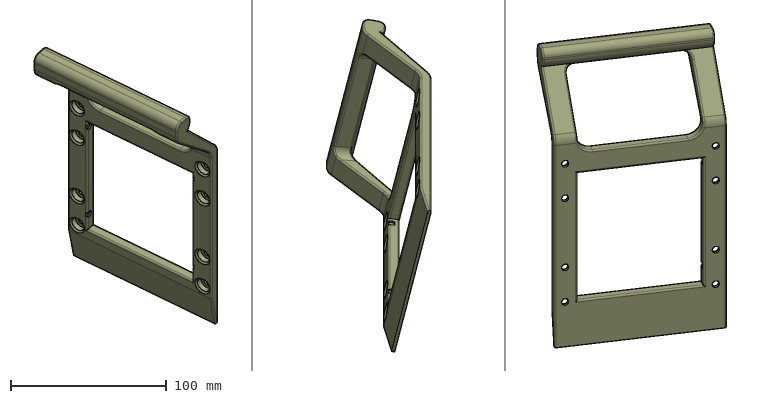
import cadquery as cq
width = 114.2
height = 199.7
reach = 45.0
edge_radius = 1.2

plate_thickness = 7.4
taper_height = 25.4
tip_thickness = 2.2
tip_rise = 0.4

arm_back_bottom = 150.4
arm_front_bottom = 149.4
bend_radius = 10.0

grip_depth = 15.0
grip_radius = 5.0
grip_front_bottom = 185.1
grip_back_flat = 1.2
notch_offset = 2.5
notch_height = 187.3

opening_width = 83.5
window_bottom = 33.0
window_top = 124.8
handle_bottom = 140.0
handle_top_front = 185.0
handle_top_slope = 0.15
handle_lower_radius = 10.0
handle_upper_radius = 6.0

hole_centre_height = 82.7
hole_column_spacing = 99.8
hole_pitch = 25.0
hole_offsets = [-2 * hole_pitch, -hole_pitch, hole_pitch, 2 * hole_pitch]
hole_diameter = 4.5
counterbore_diameter = 9.5
counterbore_depth = 5.0

dimple_diameter = 4.5
dimple_depth = 1.2
dimple_inset = 5.2
dimple_offset = 1.5 * hole_pitch


def make_body():
    """Extrude the side outline across the width, then round its bends and side edges."""
    grip_back = reach - grip_depth
    arc_start = height - grip_radius - grip_back_flat
    notch_drop = arc_start - notch_height
    arc_radius = (notch_offset**2 + notch_drop**2) / (2 * notch_offset)
    outline = (
        cq.Workplane("YZ")
        .moveTo(0, tip_rise)
        .lineTo(-tip_thickness, 0)
        .lineTo(-plate_thickness, taper_height)
        .lineTo(-plate_thickness, arm_front_bottom)
        .lineTo(-reach, grip_front_bottom)
        .lineTo(-reach, height - grip_radius)
        .radiusArc((-reach + grip_radius, height), grip_radius)
        .lineTo(-grip_back - grip_radius, height)
        .radiusArc((-grip_back, height - grip_radius), grip_radius)
        .lineTo(-grip_back, arc_start)
        .radiusArc((-grip_back - notch_offset, notch_height), arc_radius)
        .lineTo(0, arm_back_bottom)
        .close()
    )
    body = outline.extrude(width / 2, both=True)
    bends = [
        (0, arm_back_bottom),
        (-plate_thickness, arm_front_bottom),
        (-reach, grip_front_bottom),
    ]
    for y, z in bends:
        bend = cq.selectors.NearestToPointSelector((0, y, z))
        body = body.edges("|X").edges(bend).fillet(bend_radius)
    return body.faces("<X or >X").edges().fillet(edge_radius)


def make_window():
    """Plain rectangular prism through the flat plate."""
    return cq.Workplane("XY").box(
        opening_width, 2 * plate_thickness, window_top - window_bottom, centered=(True, True, False)
    ).translate((0, -plate_thickness / 2, window_bottom))


def make_handle_opening():
    """Prism along Y whose top wall rises from the grip front towards the back, with rounded corners."""
    opening = (
        cq.Workplane("YZ")
        .moveTo(0, handle_bottom)
        .lineTo(-reach, handle_bottom)
        .lineTo(-reach, handle_top_front)
        .lineTo(0, handle_top_front + reach * handle_top_slope)
        .close()
        .extrude(opening_width / 2, both=True)
    )
    opening = opening.faces("<Z").edges("|Y").fillet(handle_lower_radius)
    opening = opening.faces(">Z").edges("not |X").fillet(handle_upper_radius)
    return opening


def cut_openings(body):
    """Cut the window and the handle opening and round their front and back rims."""
    body = body.cut(make_window()).cut(make_handle_opening())
    middle = cq.selectors.BoxSelector(
        (-opening_width / 2 - 0.2, -2 * reach, window_bottom - 0.2),
        (opening_width / 2 + 0.2, reach, grip_front_bottom + grip_radius),
        boundingbox=True,
    )
    return body.edges(middle).edges("not |Y").fillet(edge_radius)


def cut_screw_holes(body):
    """Drill the stepped screw holes from the front, with a chamfer on each counterbore rim."""
    front = cq.Workplane("XZ", origin=(0, -plate_thickness, hole_centre_height))
    points = [(side * hole_column_spacing / 2, z) for side in (-1, 1) for z in hole_offsets]
    rim_radius = counterbore_diameter / 2 + edge_radius
    holes = front.pushPoints(points).circle(hole_diameter / 2).extrude(-plate_thickness)
    counterbores = front.pushPoints(points).circle(counterbore_diameter / 2).extrude(-counterbore_depth)
    rim = cq.Solid.makeCone(
        rim_radius, rim_radius - edge_radius, edge_radius, pnt=cq.Vector(0, 0, 0), dir=cq.Vector(0, 1, 0)
    )
    body = body.cut(holes).cut(counterbores)
    for x, z in points:
        body = body.cut(cq.Workplane(rim.translate(cq.Vector(x, -plate_thickness, hole_centre_height + z))))
    return body


def cut_dimples(body):
    """Sink the shallow round dimples into both side walls of the window."""
    dimple_length = opening_width + 2 * dimple_depth
    dimples = (
        cq.Workplane("YZ", origin=(0, -dimple_inset, hole_centre_height))
        .pushPoints([(0, -dimple_offset), (0, dimple_offset)])
        .circle(dimple_diameter / 2)
        .extrude(dimple_length / 2, both=True)
    )
    return body.cut(dimples)


result = cut_dimples(cut_screw_holes(cut_openings(make_body())))